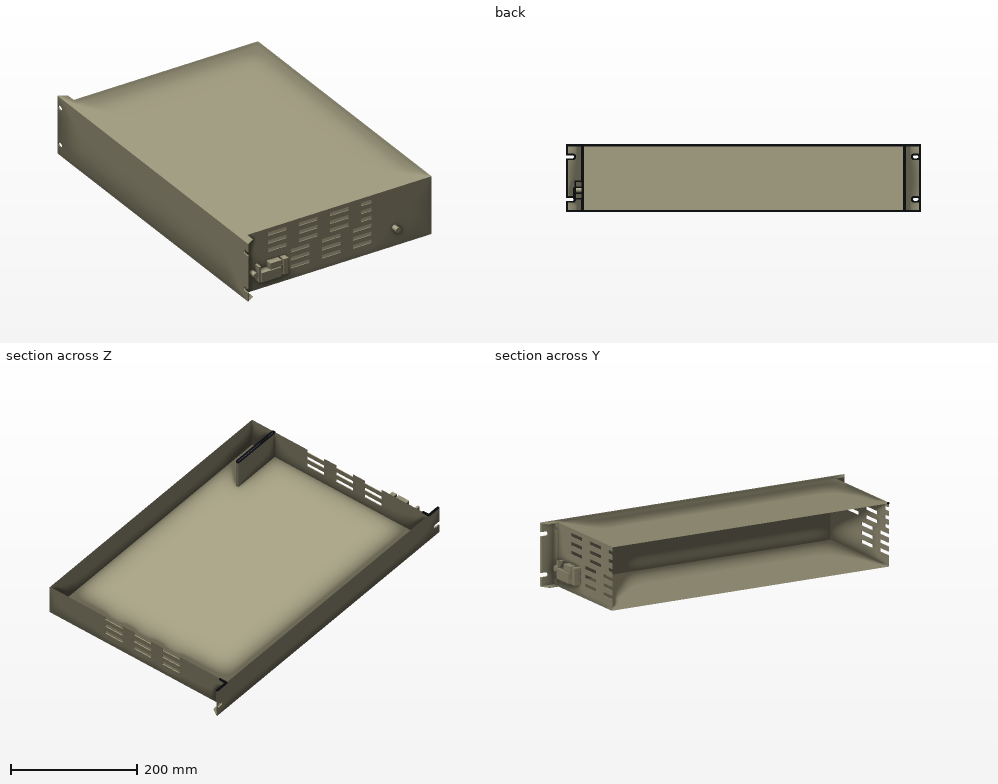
import cadquery as cq

PANEL_WIDTH = 560
DEPTH = 360.5
HEIGHT = 105.0
BOX_WIDTH = 509.5
SHEET = 1.3
BOX_SIDE = BOX_WIDTH / 2
PANEL_SIDE = PANEL_WIDTH / 2

EAR_DEPTH = 14.5
EAR_BACK_REACH = 271.0
MOUNTING_FLANGE_INSET = 3.5
EAR_FRONT_THICKNESS = 2.0
SCREW_HOLE_DIAMETER = 8.5
SCREW_HOLE_Y = 10.0
SCREW_HOLE_INSET = 12.5

RACK_SLOT_HEIGHT = 7.0
RACK_SLOT_INSET = 19.0
RACK_SLOT_REACH = 13.5
RACK_SLOT_LIP = 1.5

VENT_LENGTH = 35.0
VENT_HEIGHT = 6.0
VENT_PITCH_Y = 58.0
VENT_PITCH_Z = 14.5
VENT_ROWS = 3
VENT_TOP_INSET = 10.5
VENT_UPPER_START_Y = 53.0
VENT_LOWER_START_Y = 96.5
VENT_UPPER_COUNT = 4
VENT_LOWER_COUNT = 3
VENT_BACK_LIMIT = 248.0

RIB_LENGTH = 92.0
RIB_THICKNESS = 5.0
RIB_Y = 316.0

STUD_DIAMETER = 9.5
STUD_LENGTH = 12.0
STUD_Z = 33.5
STUD_Y_POSITIONS = (23.5, 290.5)

CONNECTOR_FRONT_Y = 29.0
CONNECTOR_BACK_Y = 84.5
CONNECTOR_HEIGHT = 28
CONNECTOR_BOTTOM = 19.5
CONNECTOR_BASE_REACH = 9.0
CONNECTOR_SHOULDER_REACH = 12.0
CONNECTOR_PLUG_REACH = 14.0
PLUG_FRONT_Y = 33.0
PLUG_BACK_Y = 69.5
PLUG_HEIGHT = 17
SHOULDER_FRONT_Y = 50.5
SHOULDER_BACK_Y = 71.5
LATCH_FRONT_Y = 75.5


def block(x_range, y_range, z_range):
    """Axis-aligned box between the given (low, high) limits."""
    limits = (x_range, y_range, z_range)
    sizes = [high - low for low, high in limits]
    corner = tuple(low for low, _ in limits)
    return cq.Workplane("XY").box(*sizes, centered=False).translate(corner)


def x_cylinder(x_start, y, z, diameter, length):
    """Cylinder along +X from the given start point."""
    plane = cq.Workplane("YZ", origin=(x_start, y, z))
    return plane.circle(diameter / 2).extrude(length)


def plan_solid():
    """Box and trapezoidal ears in one outline, extruded over the full height."""
    half_outline = [
        (PANEL_SIDE, 0),
        (EAR_BACK_REACH, EAR_DEPTH),
        (BOX_SIDE, EAR_DEPTH),
        (BOX_SIDE, DEPTH),
    ]
    mirrored = [(-x, y) for x, y in reversed(half_outline)]
    return cq.Workplane("XY").polyline(half_outline + mirrored).close().extrude(HEIGHT)


def box_cavity():
    inner_side = BOX_SIDE - SHEET
    return block((-inner_side, inner_side), (SHEET, DEPTH - SHEET), (SHEET, HEIGHT - SHEET))


def ear_cavity(side):
    """Open space of one ear, between its front sheet, its gussets and the box wall."""
    x_range = sorted((side * BOX_SIDE, side * PANEL_SIDE))
    return block(x_range, (EAR_FRONT_THICKNESS, EAR_DEPTH), (SHEET, HEIGHT - SHEET))


def mounting_flange(side):
    """Flange of one ear, lying against the box wall behind the front sheet."""
    x_range = sorted((side * BOX_SIDE, side * (BOX_SIDE + SHEET)))
    z_range = (MOUNTING_FLANGE_INSET, HEIGHT - MOUNTING_FLANGE_INSET)
    return block(x_range, (EAR_FRONT_THICKNESS, EAR_DEPTH), z_range)


def ear_screw_holes(side):
    """Two holes through the mounting flange of one ear, down to the box wall."""
    x_start = min(side * BOX_SIDE, side * (BOX_SIDE + SHEET))
    holes = cq.Workplane("XY")
    for z in (SCREW_HOLE_INSET, HEIGHT - SCREW_HOLE_INSET):
        holes = holes.add(x_cylinder(x_start, SCREW_HOLE_Y, z, SCREW_HOLE_DIAMETER, SHEET))
    return holes.combine()


def rack_slots():
    """Rounded slots through the front sheet of the ears, two on each side."""
    inner_end = PANEL_SIDE - RACK_SLOT_REACH
    closed_end = PANEL_SIDE - RACK_SLOT_LIP
    open_end = PANEL_SIDE + RACK_SLOT_HEIGHT
    slots = cq.Workplane("XY")
    for z in (RACK_SLOT_INSET, HEIGHT - RACK_SLOT_INSET):
        for left, right in ((-closed_end, -inner_end), (inner_end, open_end)):
            plane = cq.Workplane("XZ", origin=((left + right) / 2, EAR_FRONT_THICKNESS, z))
            slots = slots.add(plane.slot2D(right - left, RACK_SLOT_HEIGHT).extrude(EAR_FRONT_THICKNESS))
    return slots.combine()


def vent_slots():
    """Upper and lower groups of ventilation slots, cut across both side walls."""
    slots = cq.Workplane("XY")
    groups = ((VENT_UPPER_START_Y, VENT_UPPER_COUNT), (VENT_LOWER_START_Y, VENT_LOWER_COUNT))
    for group, (start_y, count) in enumerate(groups):
        for row in range(VENT_ROWS):
            z = HEIGHT - VENT_TOP_INSET - (group * VENT_ROWS + row) * VENT_PITCH_Z
            z_range = (z - VENT_HEIGHT / 2, z + VENT_HEIGHT / 2)
            for column in range(count):
                front = start_y + column * VENT_PITCH_Y
                back = min(front + VENT_LENGTH, VENT_BACK_LIMIT)
                slots = slots.add(block((-BOX_SIDE, BOX_SIDE), (front, back), z_range))
    return slots.combine()


def inner_rib():
    inner_side = BOX_SIDE - SHEET
    y_range = (RIB_Y - RIB_THICKNESS / 2, RIB_Y + RIB_THICKNESS / 2)
    return block((inner_side - RIB_LENGTH, inner_side), y_range, (SHEET, HEIGHT - SHEET))


def make_chassis():
    chassis = plan_solid().cut(box_cavity())
    for side in (-1, 1):
        flange = mounting_flange(side).cut(ear_screw_holes(side))
        chassis = chassis.cut(ear_cavity(side)).union(flange)
    chassis = chassis.cut(rack_slots()).cut(vent_slots()).union(inner_rib())
    for y in STUD_Y_POSITIONS:
        chassis = chassis.union(x_cylinder(BOX_SIDE, y, STUD_Z, STUD_DIAMETER, STUD_LENGTH))
    return chassis


def make_connector():
    """Connector standing on the right wall: base, shoulder, longer plug and rear latch."""

    def part(reach, y_range, height):
        z_range = (CONNECTOR_BOTTOM, CONNECTOR_BOTTOM + height)
        return block((BOX_SIDE, BOX_SIDE + reach), y_range, z_range)

    base = part(CONNECTOR_BASE_REACH, (CONNECTOR_FRONT_Y, CONNECTOR_BACK_Y), PLUG_HEIGHT)
    front_end = part(CONNECTOR_SHOULDER_REACH, (CONNECTOR_FRONT_Y, PLUG_FRONT_Y), CONNECTOR_HEIGHT)
    plug = part(CONNECTOR_PLUG_REACH, (PLUG_FRONT_Y, PLUG_BACK_Y), PLUG_HEIGHT)
    shoulder = part(CONNECTOR_SHOULDER_REACH, (SHOULDER_FRONT_Y, SHOULDER_BACK_Y), CONNECTOR_HEIGHT)
    latch = part(CONNECTOR_SHOULDER_REACH, (LATCH_FRONT_Y, CONNECTOR_BACK_Y), CONNECTOR_HEIGHT)
    return base.union(front_end).union(plug).union(shoulder).union(latch)


chassis = make_chassis()
connector = make_connector()
result = cq.Compound.makeCompound([chassis.val(), connector.val()])